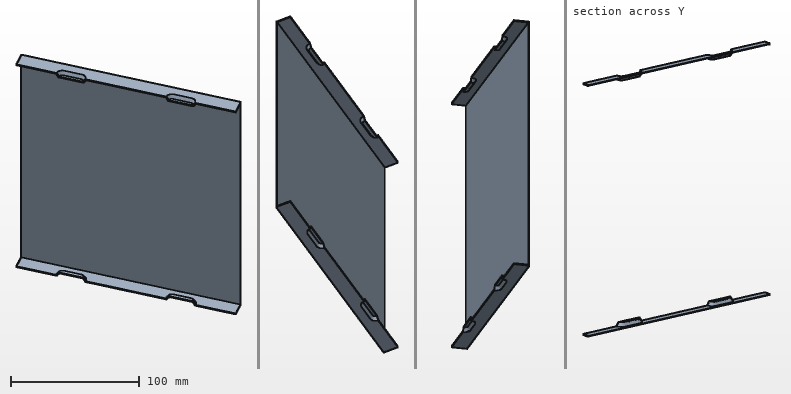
import cadquery as cq
import math

width = 180.0
depth = 12.5
height = 204.5
sheet = 1.0

dimple_width = 23.5
dimple_reach = 4.5
dimple_depth = 3.0
dimple_taper = 33.0
dimple_offset = width / 4

slope = math.radians(dimple_taper)
skin_growth = sheet * (1 - math.sin(slope)) / math.cos(slope)

front_y = -depth / 2
top_z = height / 2


def channel():
    """C-shaped sheet, open to the front and at both ends."""
    block = cq.Workplane("XY").box(width, depth, height)
    space = (
        cq.Workplane("XY")
        .box(width, depth, height - 2 * sheet)
        .translate((0, -sheet, 0))
    )
    return block.cut(space)


def half_frustum(x, start_z, growth):
    """Tapered, round-ended plug going down, trimmed at the flange edge."""
    plug = (
        cq.Workplane("XY", origin=(x, front_y, start_z))
        .slot2D(dimple_width + 2 * growth, 2 * (dimple_reach + growth))
        .extrude(-dimple_depth, taper=dimple_taper)
    )
    behind_edge = cq.Workplane("XY").box(width, depth, height)
    return plug.intersect(behind_edge)


def top_and_bottom(shape):
    return shape.union(shape.mirror("XY"))


result = channel()
for dimple_x in (-dimple_offset, dimple_offset):
    skin = half_frustum(dimple_x, top_z - sheet, skin_growth)
    hollow = half_frustum(dimple_x, top_z, 0)
    result = result.union(top_and_bottom(skin)).cut(top_and_bottom(hollow))